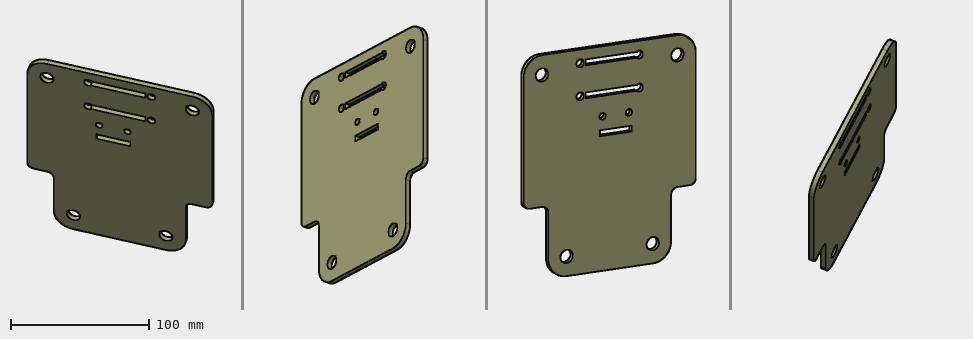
import cadquery as cq

height = 170.0
body_width = 140.0
tab_width = 100.0
tab_height = 55.0
thickness = 4.0
corner_radius = 15.0
step_radius = 5.0

mount_diameter = 10.0

strap_depths = (10.4, 35.4)
strap_hole_diameter = 6.0
strap_hole_x = 24.0
strap_slot_end_x = 19.4
slot_height = 4.5

feature_center_x = -5.0
small_hole_diameter = 5.0
small_hole_spacing = 21.5
small_hole_depth = 53.0
short_slot_width = 25.7
short_slot_depth = 65.6

top_z = height / 2
bottom_z = -height / 2
step_z = bottom_z + tab_height
half_body = body_width / 2
half_tab = tab_width / 2


def cutter(points):
    """Workplane in front of the plate with the given (x, z) points."""
    return cq.Workplane("XZ", origin=(0, -thickness, 0)).pushPoints(points)


def round_cut(points, diameter):
    return cutter(points).circle(diameter / 2).extrude(-2 * thickness)


def slot_cut(left_x, right_x, z):
    center = ((left_x + right_x) / 2, z)
    return cutter([center]).rect(right_x - left_x, slot_height).extrude(-2 * thickness)


def make_plate():
    blank = (
        cq.Workplane("XZ", origin=(0, -thickness / 2, 0))
        .moveTo(-half_body, top_z)
        .lineTo(half_body, top_z)
        .lineTo(half_body, step_z)
        .lineTo(half_tab, step_z)
        .lineTo(half_tab, bottom_z)
        .lineTo(-half_tab, bottom_z)
        .lineTo(-half_tab, step_z)
        .lineTo(-half_body, step_z)
        .close()
        .extrude(-thickness)
    )
    blank = blank.edges("|Y and (>Z or <Z)").fillet(corner_radius)
    step_corners = cq.selectors.BoxSelector(
        (-body_width, -thickness, step_z - step_radius),
        (body_width, thickness, step_z + step_radius),
    )
    return blank.edges("|Y").edges(step_corners).fillet(step_radius)


mount_points = []
for side in (-1, 1):
    mount_points.append((side * (half_body - corner_radius), top_z - corner_radius))
    mount_points.append((side * (half_tab - corner_radius), bottom_z + corner_radius))

result = make_plate().cut(round_cut(mount_points, mount_diameter))

for depth in strap_depths:
    strap_z = top_z - depth
    strap_holes = [(-strap_hole_x, strap_z), (strap_hole_x, strap_z)]
    result = result.cut(round_cut(strap_holes, strap_hole_diameter))
    result = result.cut(slot_cut(-strap_hole_x, strap_slot_end_x, strap_z))

small_holes = [
    (feature_center_x + side * small_hole_spacing / 2, top_z - small_hole_depth)
    for side in (-1, 1)
]
result = result.cut(round_cut(small_holes, small_hole_diameter))

result = result.cut(
    slot_cut(
        feature_center_x - short_slot_width / 2,
        feature_center_x + short_slot_width / 2,
        top_z - short_slot_depth,
    )
)